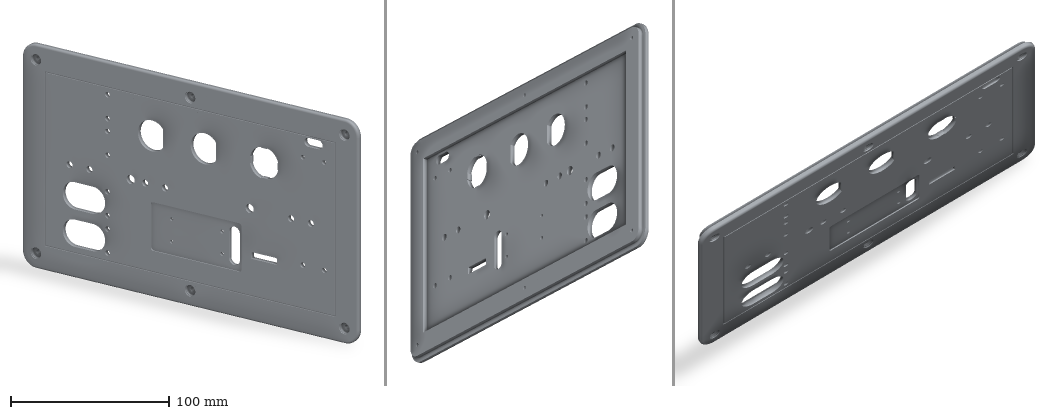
import cadquery as cq
length = 254.0
height = 152.5
thickness = 6.4
flange_thickness = 3.3
panel_thickness = 3.3
step_inset = 3.0
corner_radius = 10.5
edge_round = 1.5

groove_length = 220.0
groove_height = 118.9
groove_width = 0.8
groove_depth = 0.8

screw_x = length / 2 - corner_radius
screw_z = height / 2 - corner_radius
screw_hole = 2.5
screw_steps = [(8.0, 0.8), (7.0, 2.8), (3.0, 3.3)]

pocket_x, pocket_z = 4.5, -28.2
pocket_length, pocket_height = 68.5, 33.0
pocket_corner = 2.0
pocket_depth = 0.8
pocket_screw_hole = 2.5
pocket_screw_pitch_x = 38.0
pocket_screw_pitch_z = 15.2
cable_slot_x = 33.0
cable_slot_length, cable_slot_width = 26.2, 8.1

socket_x = -80.3
socket_length, socket_width = 32.0, 18.5
socket_zs = [-20.3, -45.7]

pair_hole = 3.5
pair_x = -62.5
pair_pitch = 16.3
pair_zs = [45.7, 20.8] + socket_zs
row_hole = 4.5
row_xs = [-91.2, -76.2, -34.0, -19.0, 76.2, 91.2]
pin_hole = 6.0
pin_x = 45.0
right_xs = [85.0, 101.3]
right_upper_hole, right_upper_z = 3.0, 43.7
right_lower_hole, right_lower_z = 3.5, -29.7

opening_z = 33.3
d_hole = 21.0
d_flat = 8.6
d_xs = [-29.0, 11.0]
keyed_x = 56.0
keyed_hole = 21.8
key_width = 4.3
key_gap = 20.3
blade_z = -31.5
blade_hole = 19.5
blade_height = 4.5
top_slot_x, top_slot_z = 93.2, 54.9
top_slot_length, top_slot_width = 13.7, 6.0

front_y = -thickness / 2


def sketch(depth=0.0):
    """Workplane parallel to the front face, `depth` behind it, with local X, Y along X, Z."""
    return cq.Workplane("XZ", origin=(0, front_y + depth, 0))


def slab(x_size, z_size, start, stop):
    """Centred block spanning the given depths behind the front face."""
    return sketch(start).rect(x_size, z_size).extrude(start - stop)


def round_holes(points, diameter):
    return sketch().pushPoints(points).circle(diameter / 2).extrude(-thickness)


def slot(x, z, slot_length, slot_width, angle=0):
    return sketch().center(x, z).slot2D(slot_length, slot_width, angle).extrude(-thickness)


def box_hole(x, z, x_size, z_size):
    return sketch().center(x, z).rect(x_size, z_size).extrude(-thickness)


def body():
    """Flange and step, hollowed from behind to leave a thinner control panel."""
    flange = slab(length, height, 0, flange_thickness)
    flange = flange.edges("|Y").fillet(corner_radius).faces("<Y").edges().fillet(edge_round)
    step = slab(length - 2 * step_inset, height - 2 * step_inset, flange_thickness, thickness)
    step = step.edges("|Y").fillet(corner_radius - step_inset)
    recess = slab(groove_length, groove_height, panel_thickness, thickness)
    return flange.union(step).cut(recess)


def groove():
    outer = slab(groove_length, groove_height, 0, groove_depth)
    inner_length = groove_length - 2 * groove_width
    inner_height = groove_height - 2 * groove_width
    return outer.cut(slab(inner_length, inner_height, 0, groove_depth))


def screw_cutter(x, z):
    """Through hole that widens in flat steps toward the front face."""
    cutter = round_holes([(x, z)], screw_hole)
    for diameter, depth in screw_steps:
        cutter = cutter.union(sketch().center(x, z).circle(diameter / 2).extrude(-depth))
    return cutter


def pocket():
    block = sketch().center(pocket_x, pocket_z).rect(pocket_length, pocket_height)
    return block.extrude(-pocket_depth).edges("|Y").fillet(pocket_corner)


def d_opening(x):
    """Round opening cut off by a flat on its +X side."""
    flat_block = box_hole(x + d_flat - d_hole / 2, opening_z, d_hole, d_hole)
    return round_holes([(x, opening_z)], d_hole).intersect(flat_block)


def keyed_opening():
    """Round opening with a narrow tab reaching inward on each of its four sides."""
    disc = round_holes([(keyed_x, opening_z)], keyed_hole)
    upright = box_hole(keyed_x, opening_z, key_width, keyed_hole)
    level = box_hole(keyed_x, opening_z, keyed_hole, key_width)
    core = box_hole(keyed_x, opening_z, key_gap, key_gap)
    return disc.cut(upright.union(level).cut(core))


def blade_opening():
    """Thin opening whose short ends lie on a common circle."""
    band = box_hole(keyed_x, blade_z, blade_hole, blade_height)
    return round_holes([(keyed_x, blade_z)], blade_hole).intersect(band)


result = body().cut(groove()).cut(pocket())

for screw_column in (-screw_x, 0, screw_x):
    for screw_row in (-screw_z, screw_z):
        result = result.cut(screw_cutter(screw_column, screw_row))

pocket_screws = [
    (pocket_x + i * pocket_screw_pitch_x / 2, pocket_z + j * pocket_screw_pitch_z / 2)
    for i in (-1, 1)
    for j in (-1, 1)
]
pair_points = [(pair_x, z + side * pair_pitch / 2) for z in pair_zs for side in (-1, 1)]

result = result.cut(round_holes(pocket_screws, pocket_screw_hole))
result = result.cut(round_holes(pair_points, pair_hole))
result = result.cut(round_holes([(x, 0) for x in row_xs], row_hole))
result = result.cut(round_holes([(-pin_x, 0), (pin_x, 0)], pin_hole))
result = result.cut(round_holes([(x, right_upper_z) for x in right_xs], right_upper_hole))
result = result.cut(round_holes([(x, right_lower_z) for x in right_xs], right_lower_hole))

result = result.cut(slot(cable_slot_x, pocket_z, cable_slot_length, cable_slot_width, 90))
result = result.cut(slot(top_slot_x, top_slot_z, top_slot_length, top_slot_width))
for socket_z in socket_zs:
    result = result.cut(slot(socket_x, socket_z, socket_length, socket_width))

for d_x in d_xs:
    result = result.cut(d_opening(d_x))
result = result.cut(keyed_opening()).cut(blade_opening())